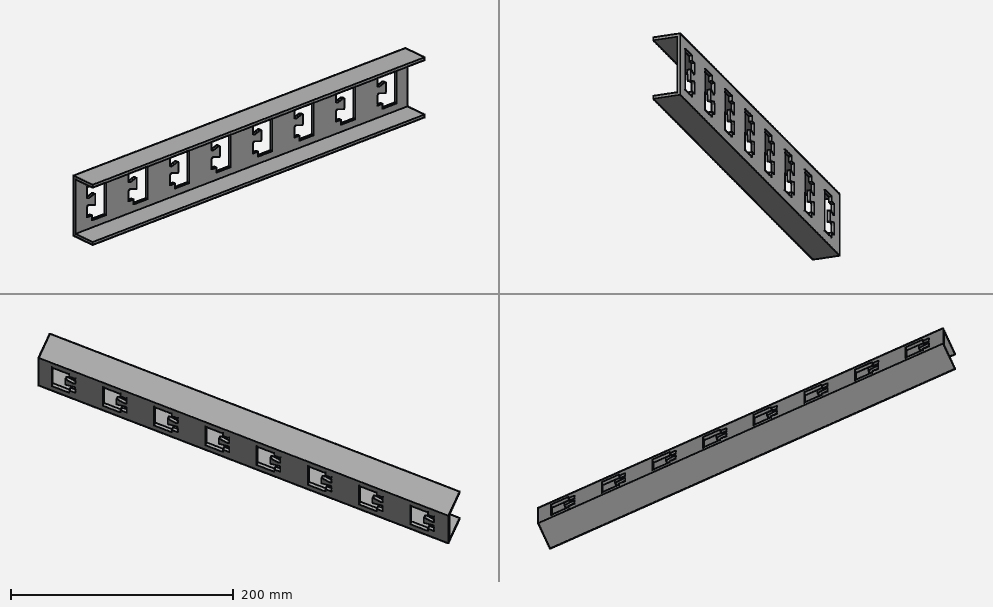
import cadquery as cq

length = 400.0
depth = 26.0
height = 60.0
wall = 3.0

opening_count = 8
pitch = length / opening_count
end_margin = 13.0
window_height = 40.0
window_width = 17.0
tab_height = 30.0
tab_width = 6.0

tongue_length = 10.0
tongue_tip_height = 12.0
tongue_root_height = 5.5
root_fillet = 1.5
tip_fillet = 1.0


def channel():
    """U-shaped rail with its outer web face at X = 0."""
    body = cq.Workplane("XY").box(depth, length, height, centered=(False, True, True))
    cavity = (
        cq.Workplane("XY")
        .box(depth, length, height - 2 * wall, centered=(False, True, True))
        .translate((wall, 0, 0))
    )
    return body.cut(cavity)


def tongue_corners(y):
    """Selector for the tongue edges through the web at the given Y."""
    reach = 0.5
    return cq.selectors.BoxSelector(
        (-wall, y - reach, -tongue_tip_height),
        (2 * wall, y + reach, tongue_tip_height),
    )


def opening(start_y):
    """Stepped window around a tongue, running from start_y towards -Y."""
    step_y = start_y - window_width
    end_y = step_y - tab_width
    tip_y = end_y + tongue_length
    upper_half = [
        (start_y, window_height / 2),
        (step_y, window_height / 2),
        (step_y, tab_height / 2),
        (end_y, tab_height / 2),
        (end_y, tongue_root_height / 2),
        (tip_y, tongue_tip_height / 2),
    ]
    lower_half = [(y, -z) for y, z in reversed(upper_half)]
    cutter = cq.Workplane("YZ").polyline(upper_half + lower_half).close().extrude(wall)
    cutter = cutter.edges("|X").edges(tongue_corners(end_y)).fillet(root_fillet)
    return cutter.edges("|X").edges(tongue_corners(tip_y)).fillet(tip_fillet)


result = channel()
for index in range(opening_count):
    result = result.cut(opening(length / 2 - index * pitch - end_margin))